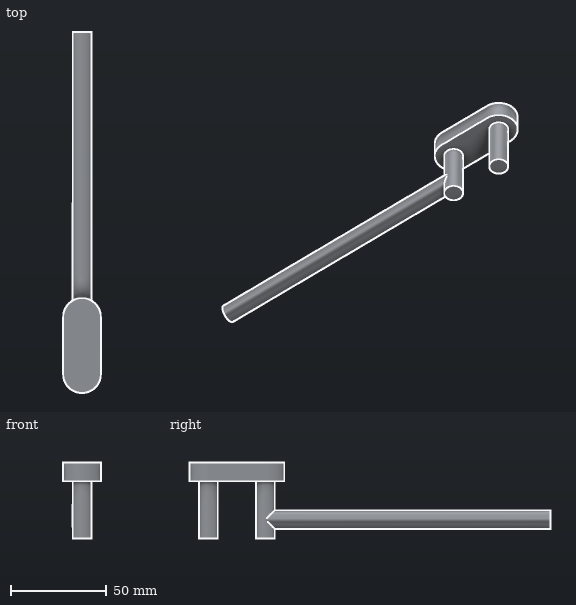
import cadquery as cq

overall_length = 190.0
bar_diameter = overall_length / 19

plate_width = 2 * bar_diameter
plate_length = 5 * bar_diameter
plate_thickness = bar_diameter

pin_length = 3 * bar_diameter
pin_spacing = plate_length - plate_width

rod_height = bar_diameter
rear_pin_y = pin_spacing
front_end_y = -plate_width / 2
rod_length = overall_length + front_end_y - rear_pin_y


def make_plate():
    return (
        cq.Workplane("XY", origin=(0, pin_spacing / 2, pin_length))
        .slot2D(plate_length, plate_width, 90)
        .extrude(plate_thickness)
    )


def make_pin(y):
    return cq.Workplane("XY", origin=(0, y, 0)).circle(bar_diameter / 2).extrude(pin_length)


def make_rod():
    return (
        cq.Workplane("XZ", origin=(0, rear_pin_y, rod_height))
        .circle(bar_diameter / 2)
        .extrude(-rod_length)
    )


result = make_plate()
for pin_y in (0, rear_pin_y):
    result = result.union(make_pin(pin_y))
result = result.union(make_rod())